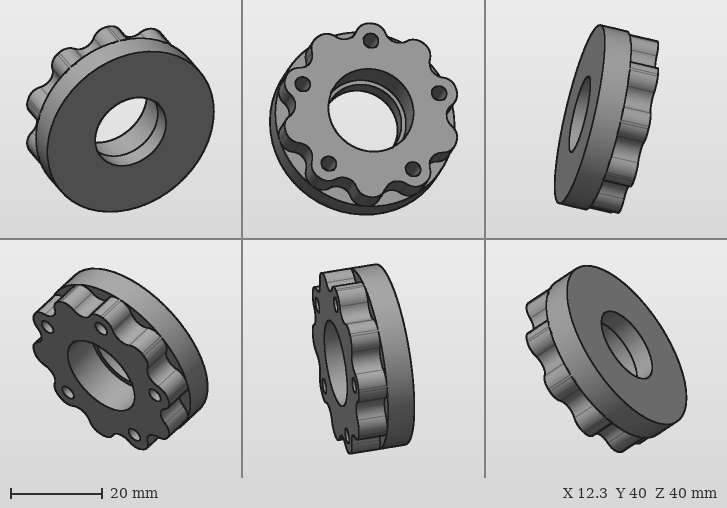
import cadquery as cq
import math

outer_radius = 20.0
total_length = 12.35
grip_length = 6.4

scallop_count = 10
scallop_radius = 3.1
lobe_radius = 3.25
cutter_margin = 2.0

bore_diameter = 17.0
counterbore_diameter = 19.0
counterbore_depth = 8.0

hole_count = 5
hole_diameter = 3.3
hole_circle_radius = 16.0
hole_depth = 8.0
drill_point_angle = 118.0


def polar(radius, angle):
    """Point (y, z) at an angle in radians, counted from +Z towards +Y."""
    return (radius * math.sin(angle), radius * math.cos(angle))


def mirrored(point):
    """The same point on the other side of the Z axis."""
    return (-point[0], point[1])


def scallop_cutter():
    """Cutter for the scallop at +Z, leaving half a lobe rounding on either side."""
    lobe_centre_radius = outer_radius - lobe_radius
    centre_distance = scallop_radius + lobe_radius

    lobe_angle = math.acos(
        (outer_radius**2 + lobe_centre_radius**2 - centre_distance**2)
        / (2 * outer_radius * lobe_centre_radius)
    )
    lobe_y, lobe_z = polar(lobe_centre_radius, lobe_angle)

    inflection_angle = math.atan2(-lobe_y, outer_radius - lobe_z)
    middle_angle = (lobe_angle + inflection_angle) / 2

    def on_lobe(angle):
        """Point on the lobe arc at an angle seen from the lobe arc centre."""
        y, z = polar(lobe_radius, angle)
        return (lobe_y + y, lobe_z + z)

    crest_end = polar(outer_radius, lobe_angle)
    lobe_middle = on_lobe(middle_angle)
    inflection = on_lobe(inflection_angle)
    scallop_floor = (0, outer_radius - scallop_radius)
    outside = polar(outer_radius + cutter_margin, lobe_angle)

    return (
        cq.Workplane("YZ")
        .moveTo(*crest_end)
        .threePointArc(lobe_middle, inflection)
        .threePointArc(scallop_floor, mirrored(inflection))
        .threePointArc(mirrored(lobe_middle), mirrored(crest_end))
        .lineTo(*mirrored(outside))
        .lineTo(*outside)
        .close()
        .extrude(grip_length)
    )


def hole_cutter():
    """Cutter for the blind hole at +Z, entering from the grip face at X = 0."""
    radius = hole_diameter / 2
    point_length = radius / math.tan(math.radians(drill_point_angle / 2))
    profile = (
        cq.Workplane("XY")
        .lineTo(0, radius)
        .lineTo(hole_depth, radius)
        .lineTo(hole_depth + point_length, 0)
        .close()
    )
    hole = profile.revolve(360, (0, 0, 0), (1, 0, 0))
    return hole.translate((0, 0, hole_circle_radius))


def turned(body, degrees):
    """The body rotated about the part axis."""
    return body.rotate((0, 0, 0), (1, 0, 0), degrees)


def cylinder(diameter, length):
    """Cylinder on the part axis, starting at the grip face at X = 0."""
    return cq.Workplane("YZ").circle(diameter / 2).extrude(length)


result = cylinder(2 * outer_radius, total_length)
result = result.cut(cylinder(bore_diameter, total_length))
result = result.cut(cylinder(counterbore_diameter, counterbore_depth))

scallop = scallop_cutter()
scallop_pitch = 360.0 / scallop_count
for index in range(scallop_count):
    result = result.cut(turned(scallop, (index + 0.5) * scallop_pitch))

hole = hole_cutter()
for index in range(hole_count):
    result = result.cut(turned(hole, index * 360.0 / hole_count))